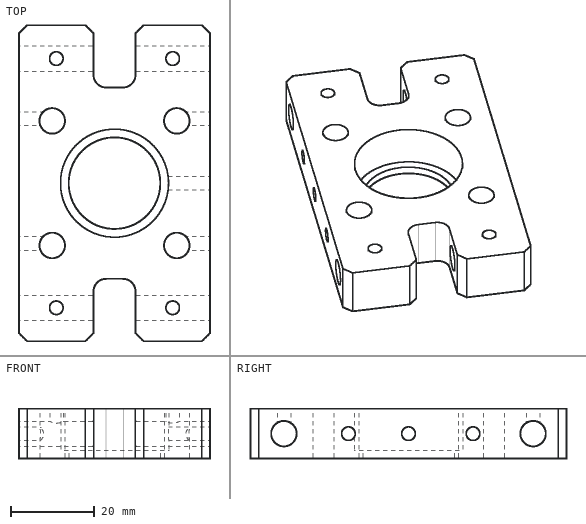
import cadquery as cq

width = 46.0
length = 76.0
thickness = 12.0
corner_chamfer = 2.0
bottom = (0, 0, -thickness / 2)
left_side = (-width / 2, 0, 0)

slot_width = 10.0
slot_depth = 15.0
slot_corner_radius = 3.0

bore_diameter = 26.0
through_bore_diameter = 22.0
ledge_thickness = 2.0

rod_diameter = 6.1
screw_diameter = 3.3
vertical_rod_offset = 15.0
cross_rod_y = 2 * vertical_rod_offset
top_screw_x = 14.0
side_screw_shift = 0.5


def make_plate():
    """Plate with an open slot in each end and chamfered outer corners."""
    plate = cq.Workplane("XY").box(width, length, thickness)
    for side in (-1, 1):
        slot = (
            cq.Workplane("XY", origin=bottom)
            .center(0, side * (length - slot_depth) / 2)
            .rect(slot_width, slot_depth)
            .extrude(thickness)
            .edges("|Z")
            .edges("<Y" if side > 0 else ">Y")
            .fillet(slot_corner_radius)
        )
        plate = plate.cut(slot)
    return plate.faces("<Y or >Y").edges("|Z").chamfer(corner_chamfer)


def cut_central_bore(body):
    """Through bore with a wider upper part that leaves a ledge at the bottom."""
    through_bore = cq.Workplane("XY", origin=bottom).circle(through_bore_diameter / 2).extrude(thickness)
    upper_bore = (
        cq.Workplane("XY", origin=(0, 0, ledge_thickness - thickness / 2))
        .circle(bore_diameter / 2)
        .extrude(thickness)
    )
    return body.cut(through_bore).cut(upper_bore)


def cut_rod_holes(body):
    """Four vertical holes around the bore and two cross holes through the slots."""
    vertical = (
        cq.Workplane("XY", origin=bottom)
        .rect(2 * vertical_rod_offset, 2 * vertical_rod_offset, forConstruction=True)
        .vertices()
        .circle(rod_diameter / 2)
        .extrude(thickness)
    )
    cross = (
        cq.Workplane("YZ", origin=left_side)
        .pushPoints([(-cross_rod_y, 0), (cross_rod_y, 0)])
        .circle(rod_diameter / 2)
        .extrude(width)
    )
    return body.cut(vertical).cut(cross)


def cut_screw_holes(body):
    """Screw holes that run into the rod holes or the bore."""
    top_screws = (
        cq.Workplane("XY")
        .rect(2 * top_screw_x, 2 * cross_rod_y, forConstruction=True)
        .vertices()
        .circle(screw_diameter / 2)
        .extrude(thickness / 2)
    )
    body = body.cut(top_screws)
    for side in (-1, 1):
        side_screws = (
            cq.Workplane("YZ", origin=(side * vertical_rod_offset, 0, 0))
            .center(side_screw_shift, 0)
            .pushPoints([(-vertical_rod_offset, 0), (vertical_rod_offset, 0)])
            .circle(screw_diameter / 2)
            .extrude(side * (width / 2 - vertical_rod_offset))
        )
        body = body.cut(side_screws)
    bore_screw = cq.Workplane("YZ").circle(screw_diameter / 2).extrude(width / 2)
    return body.cut(bore_screw)


result = make_plate()
result = cut_central_bore(result)
result = cut_rod_holes(result)
result = cut_screw_holes(result)